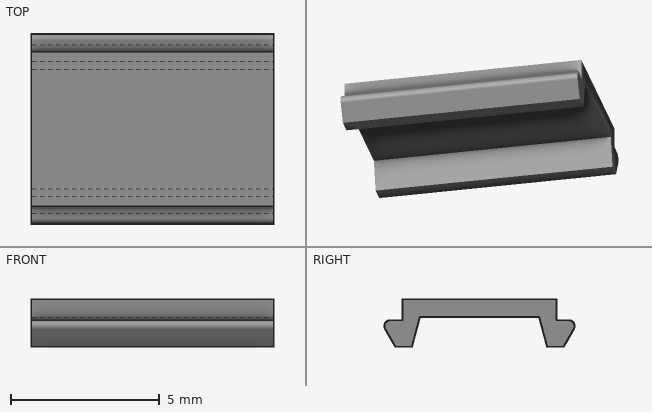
import cadquery as cq
import math

length = 8.15
width = 6.4
height = 1.6

top_width = 5.18
ledge_drop = 0.7
slab_thickness = 0.6
channel_top_width = 4.0
lip_radius = 0.2
channel_wall_angle = math.radians(15)
foot_outer_angle = math.radians(30)

ledge_z = height - ledge_drop
ceiling_z = height - slab_thickness

channel_top_y = channel_top_width / 2
channel_bottom_y = channel_top_y + ceiling_z * math.tan(channel_wall_angle)

lip_center_y = width / 2 - lip_radius
lip_center_z = ledge_z - lip_radius


def lip_point(angle):
    """Point (y, z) on the lip arc, with the angle measured from +Y towards +Z."""
    y = lip_center_y + lip_radius * math.cos(angle)
    z = lip_center_z + lip_radius * math.sin(angle)
    return y, z


lip_end_y, lip_end_z = lip_point(-foot_outer_angle)
foot_outer_y = lip_end_y - lip_end_z * math.tan(foot_outer_angle)

half_body = (
    cq.Workplane("YZ")
    .moveTo(0, height)
    .lineTo(top_width / 2, height)
    .lineTo(top_width / 2, ledge_z)
    .lineTo(lip_center_y, ledge_z)
    .threePointArc(lip_point(0), (lip_end_y, lip_end_z))
    .lineTo(foot_outer_y, 0)
    .lineTo(channel_bottom_y, 0)
    .lineTo(channel_top_y, ceiling_z)
    .lineTo(0, ceiling_z)
    .close()
    .extrude(length / 2, both=True)
)

result = half_body.union(half_body.mirror("XZ")).clean()